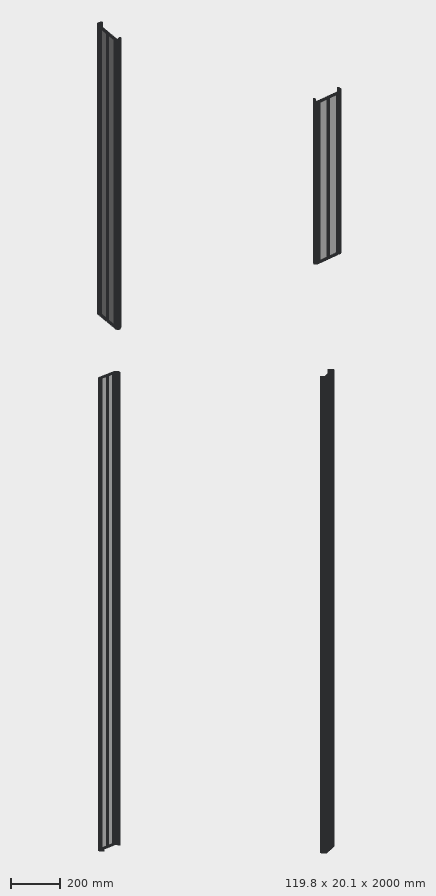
import cadquery as cq
import math

LENGTH = 2000.0
WIDTH = 119.8
HEIGHT = 20.1

PLATE_THICKNESS = 3.0
INNER_TIP_WIDTH = 106.0
INNER_ROOT_WIDTH = 109.0

FRONT_FACE_WIDTH = 106.0
CORNER_START_ANGLE = 26.0
CORNER_BEND_ANGLE = 30.0
CORNER_END_ANGLE = 70.0
CORNER_BEND_INSET = 2.7
CORNER_BEND_HEIGHT = 2.2
BAND_START_HEIGHT = 9.15
BAND_HEIGHT = 1.4
LEAN_ANGLE = 25.0

GROOVE_WIDTH = 5.0
GROOVE_DEPTH = 1.5
GROOVE_SPACING = 42.0
GROOVE_COUNT = 3

FRONT_Y = -HEIGHT / 2
TIP_Y = HEIGHT / 2
BAND_START_Y = FRONT_Y + BAND_START_HEIGHT
BAND_END_Y = BAND_START_Y + BAND_HEIGHT
PLATE_BACK_Y = FRONT_Y + PLATE_THICKNESS
FRONT_X = FRONT_FACE_WIDTH / 2
BAND_X = WIDTH / 2
TIP_X = BAND_X - (TIP_Y - BAND_END_Y) * math.tan(math.radians(LEAN_ANGLE))
INNER_TIP_X = INNER_TIP_WIDTH / 2
INNER_ROOT_X = INNER_ROOT_WIDTH / 2
BEND_X = BAND_X - CORNER_BEND_INSET
BEND_Y = FRONT_Y + CORNER_BEND_HEIGHT


def direction(angle):
    """Unit vector rising from +X toward +Y by the given angle in degrees."""
    return (math.cos(math.radians(angle)), math.sin(math.radians(angle)))


def make_channel():
    """Shallow channel with curved front corners and lips leaning inward on the outside."""
    corner_angles = (CORNER_START_ANGLE, CORNER_BEND_ANGLE, CORNER_END_ANGLE)
    right_half = (
        cq.Workplane("XY")
        .moveTo(0, FRONT_Y)
        .lineTo(FRONT_X, FRONT_Y)
        .spline(
            [(BEND_X, BEND_Y), (BAND_X, BAND_START_Y)],
            tangents=[direction(angle) for angle in corner_angles],
            includeCurrent=True,
        )
        .lineTo(BAND_X, BAND_END_Y)
        .lineTo(TIP_X, TIP_Y)
        .lineTo(INNER_TIP_X, TIP_Y)
        .lineTo(INNER_ROOT_X, PLATE_BACK_Y)
        .lineTo(0, PLATE_BACK_Y)
    )
    return right_half.mirrorY().extrude(LENGTH)


def make_groove_cutter(center_x):
    """Full-length rectangular cutter for one groove in the front face."""
    return (
        cq.Workplane("XY")
        .center(center_x, FRONT_Y)
        .rect(GROOVE_WIDTH, 2 * GROOVE_DEPTH)
        .extrude(LENGTH)
    )


result = make_channel()
for index in range(GROOVE_COUNT):
    groove_x = (index - (GROOVE_COUNT - 1) / 2) * GROOVE_SPACING
    result = result.cut(make_groove_cutter(groove_x))